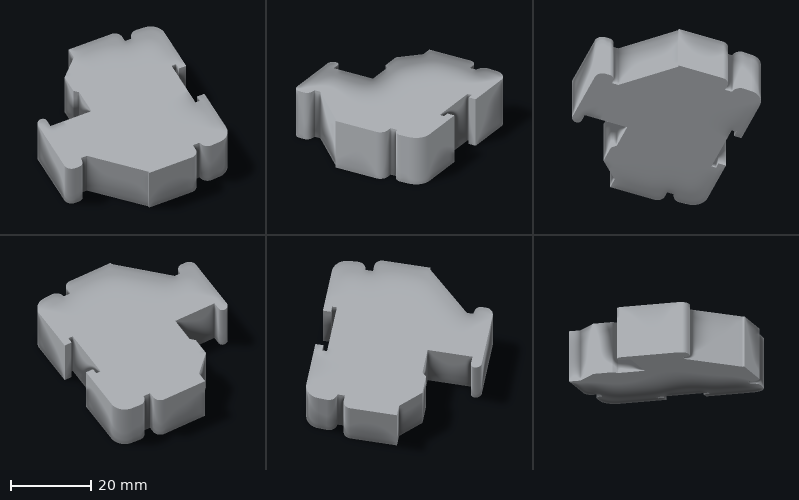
import cadquery as cq

width = 46.0
height = 42.0
thickness = 13.0
half_width = width / 2
top = height / 2
bottom = -top

slot_neck_half = 5.2
slot_half = 6.8
slot_lip_y = top - 2.02
slot_floor_y = top - 3.25

lobe_top_half = 21.15
lobe_bottom_half = 21.6
lobe_bottom_y = top - 7.8
lobe_top_radius = 3.85
lobe_bottom_radius = 2.15

notch_half = 19.4
notch_top_y = top - 8.25
notch_bottom_y = top - 10.1
shoulder_radius = 2.02
side_bottom_y = top - 24.0

belly_left = -20.05
belly_y = top - 29.03
belly_flat_left = belly_left + side_bottom_y - belly_y
belly_flat_right = -10.05
step_y = top - 27.9
step_left = belly_flat_right + step_y - belly_y

stem_left = -1.95
stem_right = 11.05
slope_bottom_y = top - 35.5
slope_top_x = stem_right + side_bottom_y - slope_bottom_y

foot_left = -5.05
foot_right = 13.5
foot_left_top_y = bottom + 2.65
foot_right_inner_y = bottom + 4.88
foot_right_outer_y = bottom + 4.35
foot_left_bottom_radius = 1.55
foot_left_top_radius = 1.05
foot_right_bottom_radius = 2.02
foot_right_top_radius = 1.45


def upper_half_points(side):
    """Points from the T-slot floor to the shoulder; side is +1 (right) or -1 (left)."""
    points = [
        (slot_half, slot_floor_y),
        (slot_half, slot_lip_y),
        (slot_neck_half, slot_lip_y),
        (slot_neck_half, top),
        (lobe_top_half, top),
        (lobe_bottom_half, lobe_bottom_y),
        (notch_half, notch_top_y),
        (notch_half, notch_bottom_y),
        (half_width, notch_bottom_y),
    ]
    return [(side * x, y) for x, y in points]


lower_points = [
    (half_width, side_bottom_y),
    (slope_top_x, side_bottom_y),
    (stem_right, slope_bottom_y),
    (stem_right, foot_right_inner_y),
    (foot_right, foot_right_outer_y),
    (foot_right, bottom),
    (foot_left, bottom),
    (foot_left, foot_left_top_y),
    (stem_left, foot_left_top_y),
    (stem_left, step_y),
    (step_left, step_y),
    (belly_flat_right, belly_y),
    (belly_flat_left, belly_y),
    (belly_left, side_bottom_y),
    (-half_width, side_bottom_y),
]

outline = upper_half_points(1) + lower_points + upper_half_points(-1)[::-1]
body = cq.Workplane("XY").polyline(outline).close().extrude(thickness)

rounded_corners = [
    (foot_left, bottom, foot_left_bottom_radius),
    (foot_left, foot_left_top_y, foot_left_top_radius),
    (foot_right, bottom, foot_right_bottom_radius),
    (foot_right, foot_right_outer_y, foot_right_top_radius),
]
for side in (-1, 1):
    rounded_corners += [
        (side * lobe_top_half, top, lobe_top_radius),
        (side * lobe_bottom_half, lobe_bottom_y, lobe_bottom_radius),
        (side * half_width, notch_bottom_y, shoulder_radius),
    ]


def round_corner(solid, x, y, radius):
    """Fillet the upright edge that stands at (x, y)."""
    edge = cq.selectors.NearestToPointSelector((x, y, thickness / 2))
    return solid.edges("|Z").edges(edge).fillet(radius)


for corner_x, corner_y, corner_radius in rounded_corners:
    body = round_corner(body, corner_x, corner_y, corner_radius)

result = body